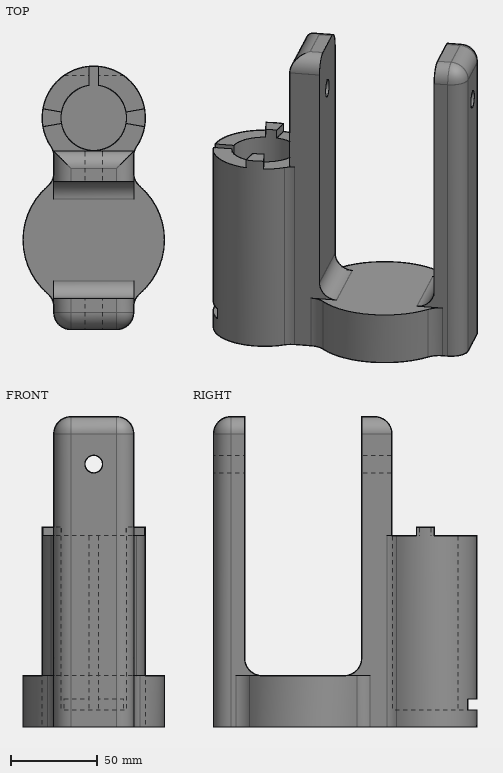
import cadquery as cq
import math

total_height = 180.0
front_y = -52.0
blend_radius = 10.0

base_diameter = 82.0
base_height = 29.9

arm_width = 46.5
arm_gap = 67.7
rear_arm_back_y = 51.5
pin_hole_diameter = 10.0
pin_hole_z = 152.5

total_depth = 152.8
tower_diameter = 60.0
tower_height = 111.0
bore_diameter = 38.0
floor_height = 10.0
tab_height = 4.9
tab_half_angle = 10.0
slot_width = 5.4
groove_height = 6.1
groove_depth = 5.4

base_radius = base_diameter / 2
half_width = arm_width / 2
half_gap = arm_gap / 2
tower_radius = tower_diameter / 2
bore_radius = bore_diameter / 2
tower_back_y = front_y + total_depth
tower_y = tower_back_y - tower_radius


def box(x_min, x_max, y_min, y_max, z_min, z_max):
    size = (x_max - x_min, y_max - y_min, z_max - z_min)
    return cq.Workplane("XY").box(*size, centered=False).translate((x_min, y_min, z_min))


def cylinder(radius, center_y, height, z_min=0):
    return cq.Workplane("XY", origin=(0, center_y, z_min)).circle(radius).extrude(height)


def side_blends(radius, center_y, y_direction, height):
    """Concave fillets joining the flat arm sides to a round body.

    y_direction points along Y from the body centre towards the blends.
    """
    blend_x = half_width + blend_radius
    rise = math.sqrt((radius + blend_radius) ** 2 - blend_x**2)
    blend_y = center_y + y_direction * rise
    touch_share = radius / (radius + blend_radius)
    touch_x = blend_x * touch_share
    touch_y = center_y + y_direction * rise * touch_share
    angle = math.atan2(touch_y - blend_y, touch_x - blend_x)
    side_angle = y_direction * -math.pi
    middle_angle = (angle + side_angle) / 2
    middle_x = blend_x + blend_radius * math.cos(middle_angle)
    middle_y = blend_y + blend_radius * math.sin(middle_angle)
    blend = (
        cq.Workplane("XY")
        .moveTo(0, touch_y)
        .lineTo(touch_x, touch_y)
        .threePointArc((middle_x, middle_y), (half_width, blend_y))
        .lineTo(0, blend_y)
        .close()
        .extrude(height)
    )
    return blend.union(blend.mirror("YZ"))


def make_front_arm():
    arm = box(-half_width, half_width, front_y, -half_gap, 0, total_height)
    arm = arm.edges("|Z and <Y").fillet(blend_radius)
    return arm.faces(">Z").edges("not >Y").fillet(blend_radius)


def make_rear_arm():
    arm = box(-half_width, half_width, half_gap, rear_arm_back_y, 0, total_height)
    return arm.faces(">Z").edges("not <Y").fillet(blend_radius)


def make_cradle():
    """Base disc and both arms, with rounded inner corners and the pin holes."""
    corner_top = base_height + blend_radius
    web = box(-half_width, half_width, -half_gap, half_gap, 0, corner_top)
    opening = box(-half_width, half_width, -half_gap, half_gap, base_height, total_height)
    opening = opening.edges("|X and <Z").fillet(blend_radius)
    cradle = cylinder(base_radius, 0, base_height).union(web.cut(opening))
    for direction in (-1, 1):
        cradle = cradle.union(side_blends(base_radius, 0, direction, base_height))
    cradle = cradle.union(make_front_arm()).union(make_rear_arm())
    pin_hole = (
        cq.Workplane("XZ", origin=(0, rear_arm_back_y, pin_hole_z))
        .circle(pin_hole_diameter / 2)
        .extrude(rear_arm_back_y - front_y)
    )
    return cradle.cut(pin_hole)


def make_tabs():
    """Two opposite ring segments standing on the tower rim."""
    reach = 2 * tower_radius
    half_spread = reach * math.tan(math.radians(tab_half_angle))
    wedges = (
        cq.Workplane("XY", origin=(0, tower_y, tower_height))
        .polyline([(0, 0), (reach, -half_spread), (reach, half_spread)])
        .close()
        .extrude(tab_height)
    )
    wedges = wedges.union(wedges.mirror("YZ"))
    return wedges.intersect(cylinder(tower_radius, tower_y, tab_height, tower_height))


def make_tower():
    neck = box(-half_width, half_width, half_gap, rear_arm_back_y, 0, tower_height)
    tower = cylinder(tower_radius, tower_y, tower_height).union(neck)
    tower = tower.union(side_blends(tower_radius, tower_y, -1, tower_height))
    return tower.union(make_tabs())


def make_tower_cuts():
    """Blind bore, wall slot and rear groove, all sharing one floor."""
    bore = cylinder(bore_radius, tower_y, total_height, floor_height)
    bore = bore.intersect(
        box(-tower_radius, tower_radius, rear_arm_back_y, tower_back_y, 0, total_height)
    )
    slot = box(
        -slot_width / 2, slot_width / 2, tower_y, tower_back_y, floor_height, total_height
    )
    groove = box(
        -tower_radius,
        tower_radius,
        tower_back_y - groove_depth,
        tower_back_y,
        floor_height,
        floor_height + groove_height,
    )
    return bore.union(slot).union(groove)


result = make_cradle().union(make_tower()).cut(make_tower_cuts())